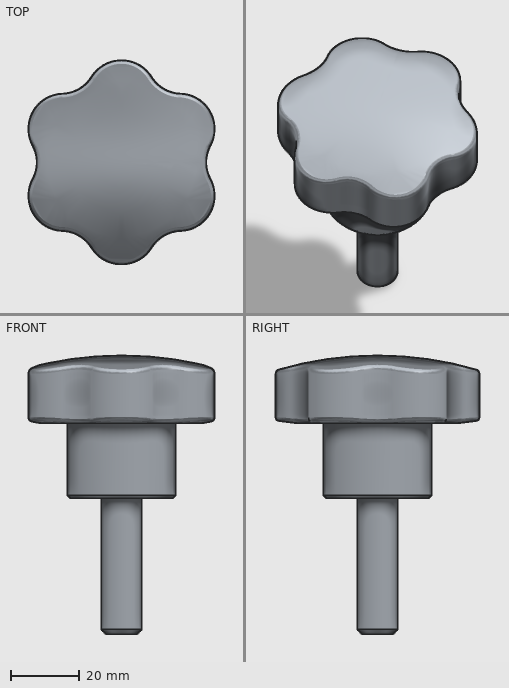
import cadquery as cq
import math

total_height = 82.0
lobe_count = 6
lobe_pitch_radius = 19.6
lobe_tip_radius = 30.0
valley_radius = 24.9
head_bottom = 62.0
dome_drop = 4.4
underside_flat_radius = 23.4
underside_rise = 0.8
top_rounding = 1.5
bottom_rounding = 1.2
hub_diameter = 32.0
hub_bottom = 39.9
hub_chamfer = 1.0
stud_diameter = 12.0
stud_chamfer = 1.5

envelope_margin = 0.8

lobe_step = 2 * math.pi / lobe_count
lobe_radius = lobe_tip_radius - lobe_pitch_radius

lobe_along_valley = lobe_pitch_radius * math.cos(lobe_step / 2)
hollow_radius = (
    valley_radius**2 + lobe_pitch_radius**2 - 2 * valley_radius * lobe_along_valley - lobe_radius**2
) / (2 * (lobe_radius + lobe_along_valley - valley_radius))
hollow_pitch_radius = valley_radius + hollow_radius


def polar(radius, angle):
    return (radius * math.cos(angle), radius * math.sin(angle))


def tangent_point(lobe_angle, hollow_angle):
    """Point where a lobe arc meets the neighbouring hollow arc."""
    lobe = polar(lobe_pitch_radius, lobe_angle)
    hollow = polar(hollow_pitch_radius, hollow_angle)
    share = lobe_radius / (lobe_radius + hollow_radius)
    return tuple(a + share * (b - a) for a, b in zip(lobe, hollow))


def lobed_prism():
    """Star-shaped column with alternating tangent lobe and hollow arcs."""
    first_lobe = math.pi / 2
    outline = cq.Workplane("XY").workplane(offset=head_bottom)
    outline = outline.moveTo(*tangent_point(first_lobe, first_lobe - lobe_step / 2))
    for index in range(lobe_count):
        lobe_angle = first_lobe + index * lobe_step
        next_lobe = lobe_angle + lobe_step
        hollow_angle = lobe_angle + lobe_step / 2
        outline = outline.threePointArc(
            polar(lobe_tip_radius, lobe_angle), tangent_point(lobe_angle, hollow_angle)
        )
        outline = outline.threePointArc(
            polar(valley_radius, hollow_angle), tangent_point(next_lobe, hollow_angle)
        )
    return outline.close().extrude(total_height - head_bottom)


def head_envelope():
    """Turned body with a spherical crown and a flat underside whose rim rises as a cone."""
    sphere_radius = (lobe_tip_radius**2 + dome_drop**2) / (2 * dome_drop)
    outer_radius = lobe_tip_radius + envelope_margin
    sphere_centre = total_height - sphere_radius

    def crown_z(radius):
        return sphere_centre + math.sqrt(sphere_radius**2 - radius**2)

    slope = underside_rise / (lobe_tip_radius - underside_flat_radius)
    return (
        cq.Workplane("XZ")
        .moveTo(0, head_bottom)
        .lineTo(underside_flat_radius, head_bottom)
        .lineTo(outer_radius, head_bottom + slope * (outer_radius - underside_flat_radius))
        .lineTo(outer_radius, crown_z(outer_radius))
        .threePointArc((outer_radius / 2, crown_z(outer_radius / 2)), (0, total_height))
        .close()
        .revolve(360, (0, 0), (0, 1))
    )


def head():
    """Lobed head with its upper and lower rims rounded."""
    mid_height = (head_bottom + total_height) / 2
    upper_half = cq.selectors.BoxSelector(
        (-total_height, -total_height, mid_height), (total_height, total_height, total_height)
    )
    lower_half = cq.selectors.BoxSelector(
        (-total_height, -total_height, head_bottom), (total_height, total_height, mid_height)
    )
    body = lobed_prism().intersect(head_envelope())
    body = body.edges("not |Z").edges(upper_half).fillet(top_rounding)
    lower_rim = body.edges("not |Z").edges("not %CIRCLE").edges(lower_half)
    return lower_rim.fillet(bottom_rounding)


def chamfered_cylinder(diameter, bottom, top, chamfer):
    """Upright cylinder with its lower edge chamfered."""
    cylinder = cq.Workplane("XY").workplane(offset=bottom).circle(diameter / 2).extrude(top - bottom)
    return cylinder.faces("<Z").edges().chamfer(chamfer)


hub = chamfered_cylinder(hub_diameter, hub_bottom, head_bottom, hub_chamfer)
stud = chamfered_cylinder(stud_diameter, 0, hub_bottom, stud_chamfer)
result = head().union(hub).union(stud)